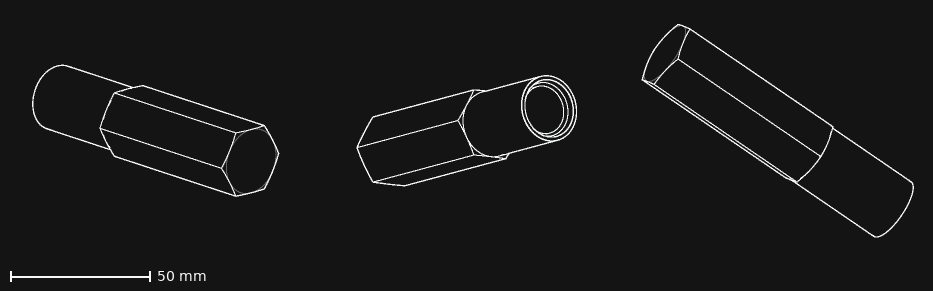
import cadquery as cq
import math

total_length = 104.8
barrel_length = 38.0
hex_across_flats = 23.8
barrel_diameter = hex_across_flats
rim_chamfer = 0.1
hex_across_corners = hex_across_flats / math.cos(math.radians(30))
hex_length = total_length - barrel_length

corner_chamfer_length = 0.5
end_face_radius = hex_across_flats / 2

bore_radius = 17.3 / 2
mouth_radius = 20.7 / 2
seat_radius = 19.5 / 2
mouth_length = 2.5
seat_length = seat_radius - bore_radius
bore_depth = barrel_length


def revolve_about_x(points):
    """Solid of revolution about X from a closed (x, radius) outline."""
    return cq.Workplane("XY").polyline(points).close().revolve(360, (0, 0, 0), (1, 0, 0))


def make_barrel():
    barrel = cq.Workplane("YZ").circle(barrel_diameter / 2).extrude(barrel_length)
    return barrel.faces("<X").chamfer(rim_chamfer)


def make_hex_body():
    prism = (
        cq.Workplane("YZ", origin=(barrel_length, 0, 0))
        .polygon(6, hex_across_corners)
        .extrude(hex_length)
    )
    corner_radius = hex_across_corners / 2
    chamfer_envelope = revolve_about_x([
        (barrel_length, 0),
        (barrel_length, end_face_radius),
        (barrel_length + corner_chamfer_length, corner_radius),
        (total_length - corner_chamfer_length, corner_radius),
        (total_length, end_face_radius),
        (total_length, 0),
    ])
    return prism.intersect(chamfer_envelope)


def make_bore():
    return revolve_about_x([
        (0, 0),
        (0, mouth_radius + rim_chamfer),
        (rim_chamfer, mouth_radius),
        (mouth_length, seat_radius),
        (mouth_length + seat_length, bore_radius),
        (bore_depth, bore_radius),
        (bore_depth, 0),
    ])


result = make_barrel().union(make_hex_body()).cut(make_bore())